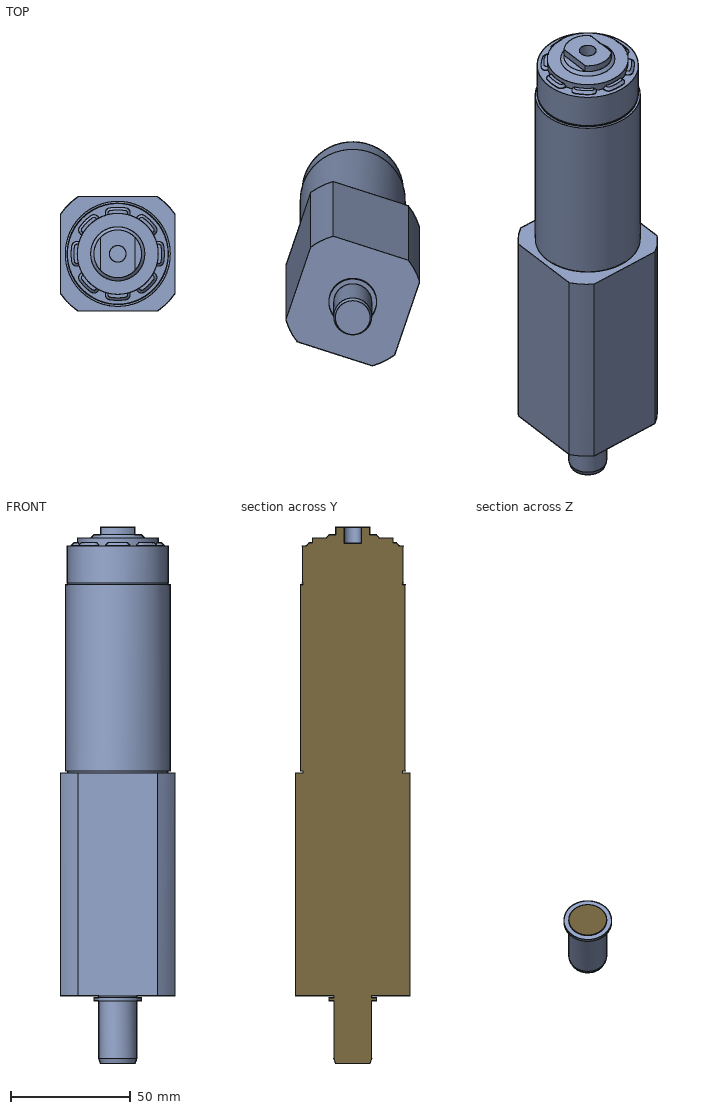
import cadquery as cq
import math

total_length = 224.7

joint_gap = 0.7

housing_width = 48.0
housing_corner_diameter = 58.5
housing_bottom = 28.3
housing_top = 121.8

output_shaft_diameter = 16.0
output_chamfer_height = 2.0
output_chamfer_width = 0.7
collar_diameter = 20.0
collar_bottom = 26.3

barrel_diameter = 44.0
barrel_top = 200.7
joint_core_diameter = 42.0
cap_diameter = 42.5
cap_top = 216.8

disc_diameter = 34.0
disc_top = 220.2
hub_base_diameter = 22.7
hub_top = 221.5
rear_shaft_diameter = 20.0
rear_shaft_flat_width = 14.4
centre_hole_diameter = 7.0
centre_hole_depth = 6.7

pad_count = 8
pad_length = 10.3
pad_height = 1.3
pad_corner_diameter = 4.3
pad_chamfer = 1.1
pad_outer_radius = 19.5
pad_inner_radius = 11.2


def cylinder(diameter, bottom, top):
    """Upright cylinder on the main axis."""
    return cq.Workplane("XY").workplane(offset=bottom).circle(diameter / 2).extrude(top - bottom)


def make_housing():
    """Square block whose corners are cut back to a larger cylinder."""
    block = (
        cq.Workplane("XY")
        .workplane(offset=housing_bottom)
        .rect(housing_width, housing_width)
        .extrude(housing_top - housing_bottom)
    )
    return block.intersect(cylinder(housing_corner_diameter, housing_bottom, housing_top))


def make_output_shaft():
    """Round shaft with a chamfered tip and a collar one joint gap below the housing."""
    shaft = (
        cylinder(output_shaft_diameter, 0, housing_bottom)
        .faces("<Z")
        .chamfer(output_chamfer_height, output_chamfer_width)
    )
    collar_top = housing_bottom - joint_gap
    collar = cylinder(collar_diameter, collar_bottom, collar_top)
    return shaft.union(collar)


def make_motor():
    """Barrel and rear cap with joint gaps down to a slimmer core, and the raised disc."""
    barrel_bottom = housing_top + joint_gap
    cap_bottom = barrel_top + joint_gap
    core = cylinder(joint_core_diameter, housing_top, cap_bottom)
    barrel = cylinder(barrel_diameter, barrel_bottom, barrel_top)
    cap = cylinder(cap_diameter, cap_bottom, cap_top)
    disc = cylinder(disc_diameter, cap_top, disc_top)
    return core.union(barrel).union(cap).union(disc)


def make_hub():
    """Tapered hub between the disc and the rear shaft."""
    return (
        cq.Workplane("XY")
        .workplane(offset=disc_top)
        .circle(hub_base_diameter / 2)
        .workplane(offset=hub_top - disc_top)
        .circle(rear_shaft_diameter / 2)
        .loft(ruled=True)
    )


def make_rear_shaft():
    """Short round shaft with two flats facing +X and -X."""
    round_shaft = cylinder(rear_shaft_diameter, hub_top, total_length)
    flats = (
        cq.Workplane("XY")
        .workplane(offset=hub_top)
        .rect(rear_shaft_flat_width, rear_shaft_diameter)
        .extrude(total_length - hub_top)
    )
    return round_shaft.intersect(flats)


def make_pad(angle):
    """Chamfered pad with rounded outer corners, reaching out from the disc at the given angle."""
    side_radius = math.sqrt(pad_outer_radius**2 - (pad_length / 2) ** 2)
    pad = (
        cq.Workplane("XY")
        .workplane(offset=cap_top)
        .moveTo(pad_inner_radius, -pad_length / 2)
        .lineTo(side_radius, -pad_length / 2)
        .threePointArc((pad_outer_radius, 0), (side_radius, pad_length / 2))
        .lineTo(pad_inner_radius, pad_length / 2)
        .close()
        .extrude(pad_height)
        .edges("|Z")
        .edges(">X")
        .fillet(pad_corner_diameter / 2)
        .faces(">Z")
        .chamfer(pad_chamfer)
    )
    return pad.rotate((0, 0, 0), (0, 0, 1), angle)


result = make_output_shaft().union(make_housing()).union(make_motor())
result = result.union(make_hub()).union(make_rear_shaft())
for index in range(pad_count):
    result = result.union(make_pad(index * 360 / pad_count))
result = result.cut(cylinder(centre_hole_diameter, total_length - centre_hole_depth, total_length))